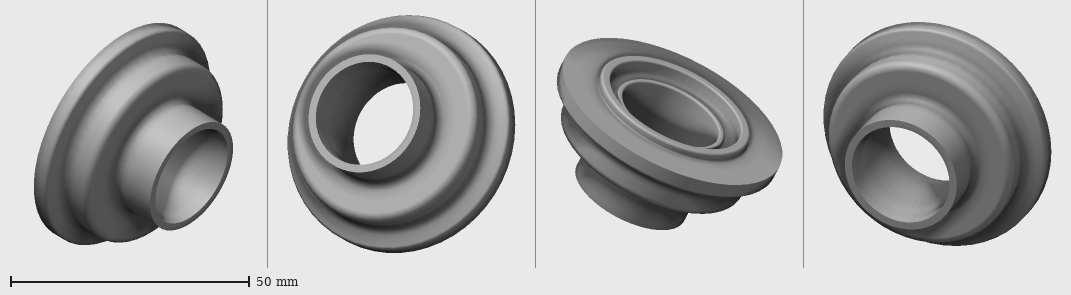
import cadquery as cq
import math

rim_depth = 1.8
flange_edge_end = 4.7
collar_end = 13.6
total_length = 23.5

bore_radius = 22.1 / 2
hub_radius = 25.4 / 2
rim_radius = 34.3 / 2
collar_radius = 42.0 / 2
flange_radius = 50.5 / 2

rim_edge_fillet = 0.6
rim_root_fillet = 0.45
collar_edge_fillet = 1.65
hub_root_fillet = 1.6
flange_edge_fillet = 0.8
flange_root_fillet = 1.95
flank_angle = math.radians(20)

lip_setback = 2.5
lip_fillet = 0.4
groove_outer_radius = 15.0
groove_inner_radius = 12.25
groove_mouth_fillet = 0.45
lip_crest_radius = groove_inner_radius - lip_fillet
lip_inner_radius = bore_radius + lip_fillet
groove_depth = 3.4
groove_bottom_radius = 13.05

ROUND = math.sqrt(0.5)


def quarter(outline, center, radius, x_side, r_side, end):
    """Add a quarter round whose midpoint lies towards the given sides of its center."""
    middle = (center[0] + x_side * radius * ROUND, center[1] + r_side * radius * ROUND)
    return outline.threePointArc(middle, end)


def arc_point(center, radius, angle):
    return (center[0] + radius * math.cos(angle), center[1] + radius * math.sin(angle))


edge_center = (flange_edge_end, flange_radius - flange_edge_fillet)
flank_start = arc_point(edge_center, flange_edge_fillet, flank_angle)
edge_middle = arc_point(edge_center, flange_edge_fillet, (math.pi / 2 + flank_angle) / 2)
root_center_r = collar_radius + flange_root_fillet
flank_end_r = root_center_r - flange_root_fillet * math.sin(flank_angle)
flank_end_x = flank_start[0] + (flank_start[1] - flank_end_r) * math.tan(flank_angle)
root_center = (flank_end_x + flange_root_fillet * math.cos(flank_angle), root_center_r)
root_middle = arc_point(root_center, -flange_root_fillet, (math.pi / 2 + flank_angle) / 2)

section = cq.Workplane("XY").moveTo(0, groove_outer_radius + groove_mouth_fillet)
section = section.lineTo(0, rim_radius - rim_edge_fillet)
section = quarter(section, (rim_edge_fillet, rim_radius - rim_edge_fillet), rim_edge_fillet,
                  -1, 1, (rim_edge_fillet, rim_radius))
section = section.lineTo(rim_depth - rim_root_fillet, rim_radius)
section = quarter(section, (rim_depth - rim_root_fillet, rim_radius + rim_root_fillet), rim_root_fillet,
                  1, -1, (rim_depth, rim_radius + rim_root_fillet))

section = section.lineTo(rim_depth, flange_radius).lineTo(flange_edge_end, flange_radius)
section = section.threePointArc(edge_middle, flank_start).lineTo(flank_end_x, flank_end_r)
section = section.threePointArc(root_middle, (root_center[0], collar_radius))
section = section.lineTo(collar_end - collar_edge_fillet, collar_radius)
section = quarter(section, (collar_end - collar_edge_fillet, collar_radius - collar_edge_fillet),
                  collar_edge_fillet, 1, 1, (collar_end, collar_radius - collar_edge_fillet))

section = section.lineTo(collar_end, hub_radius + hub_root_fillet)
section = quarter(section, (collar_end + hub_root_fillet, hub_radius + hub_root_fillet), hub_root_fillet,
                  -1, -1, (collar_end + hub_root_fillet, hub_radius))
section = section.lineTo(total_length, hub_radius).lineTo(total_length, bore_radius)
section = section.lineTo(lip_setback + lip_fillet, bore_radius)

section = quarter(section, (lip_setback + lip_fillet, lip_inner_radius), lip_fillet,
                  -1, -1, (lip_setback, lip_inner_radius))
section = section.lineTo(lip_setback, lip_crest_radius)
section = quarter(section, (lip_setback + lip_fillet, lip_crest_radius), lip_fillet,
                  -1, 1, (lip_setback + lip_fillet, groove_inner_radius))

section = section.spline(
    [(groove_depth, groove_bottom_radius), (groove_mouth_fillet, groove_outer_radius)],
    tangents=[(1, 0), (-1, 0)],
    includeCurrent=True,
)
section = quarter(section, (groove_mouth_fillet, groove_outer_radius + groove_mouth_fillet),
                  groove_mouth_fillet, -1, -1, (0, groove_outer_radius + groove_mouth_fillet))

result = section.close().revolve(360, (0, 0, 0), (1, 0, 0))